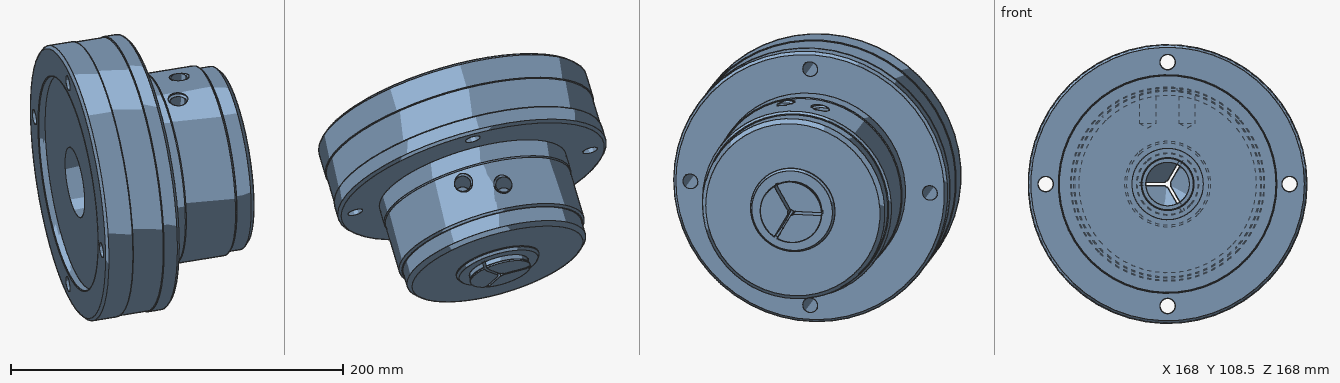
import cadquery as cq
import math

length = 108.5

flange_radius = 84
flange_waist_radius = 83.5
flange_length = 46.2
flange_chamfer = 1.7
waist_start = 16.6
waist_end = 36.3
waist_chamfer = flange_radius - flange_waist_radius

collar_radius = 58.5
collar_end = 57.6
collar_chamfer = 0.8
body_radius = 58.0
body_end = 89.7
body_chamfer = 1.3
cap_radius = 56.0
cap_end = 101.3
cap_chamfer = 2.5
seat_radius = 25.9
seat_end = 103.7
seat_chamfer_radial = 1.2
seat_chamfer_axial = 1.7

neck_radius = 18.3
lip_radius = 18.8
lip_start = 106.7
lip_chamfer_radial = 3.4
lip_chamfer_axial = 0.7

register_radius = 65.4
register_root_radius = 65.2
register_mouth_chamfer = 0.5
register_taper_end = 2.9
register_depth = 4.4
entry_radius = 21.5
entry_depth = 16.8
guide_mouth_radius = 16.0
guide_root_radius = 15.5
guide_depth = 21.2
collet_bore_radius = 13.1
collet_bore_end = 84
tip_radius = 1.8
tip_cone_length = collet_bore_radius - tip_radius

slot_count = 3
slot_width = 1.8

bolt_count = 4
bolt_circle_radius = 73.5
bolt_hole_radius = 4.5

screw_holes = ((-12.0, 72.9), (11.8, 65.7))
screw_hole_radius = 4.9
screw_mouth_radius = 6.0
screw_hole_depth = 20.2
drill_point_angle = 118


def revolve_profile(points):
    """Revolve (radius, y) points about the Y axis."""
    return cq.Workplane("XY").polyline(points).close().revolve(360, (0, 0, 0), (0, 1, 0))


def outer_body():
    return revolve_profile([
        (0, 0),
        (flange_radius - flange_chamfer, 0),
        (flange_radius, flange_chamfer),
        (flange_radius, waist_start),
        (flange_waist_radius, waist_start + waist_chamfer),
        (flange_waist_radius, waist_end - waist_chamfer),
        (flange_radius, waist_end),
        (flange_radius, flange_length - flange_chamfer),
        (flange_radius - flange_chamfer, flange_length),
        (collar_radius, flange_length),
        (collar_radius, collar_end - collar_chamfer),
        (body_radius, collar_end),
        (body_radius, body_end - body_chamfer),
        (body_radius - body_chamfer, body_end),
        (cap_radius, body_end),
        (cap_radius, cap_end - cap_chamfer),
        (cap_radius - cap_chamfer, cap_end),
        (seat_radius, cap_end),
        (seat_radius, seat_end - seat_chamfer_axial),
        (seat_radius - seat_chamfer_radial, seat_end),
        (neck_radius, seat_end),
        (neck_radius, lip_start),
        (lip_radius, lip_start),
        (lip_radius, length - lip_chamfer_axial),
        (lip_radius - lip_chamfer_radial, length),
        (0, length),
    ])


def axial_bores():
    return revolve_profile([
        (0, 0),
        (register_radius + register_mouth_chamfer, 0),
        (register_radius, register_mouth_chamfer),
        (register_root_radius, register_taper_end),
        (register_root_radius, register_depth),
        (entry_radius, register_depth),
        (entry_radius, entry_depth),
        (guide_mouth_radius, entry_depth),
        (guide_root_radius, guide_depth),
        (collet_bore_radius, guide_depth),
        (collet_bore_radius, collet_bore_end),
        (tip_radius, collet_bore_end + tip_cone_length),
        (tip_radius, length),
        (0, length),
    ])


def mounting_holes():
    """Plain holes right through the flange."""
    return (
        cq.Workplane("XZ")
        .polarArray(bolt_circle_radius, 0, 360, bolt_count)
        .circle(bolt_hole_radius)
        .extrude(-flange_length)
    )


def collet_slots():
    """Evenly spaced slots from the axis out through the collet wall, the first toward -X."""
    slot_length = length - collet_bore_end
    slots = cq.Workplane("XY")
    for index in range(slot_count):
        slot = (
            cq.Workplane("XY", origin=(0, collet_bore_end, 0))
            .box(lip_radius, slot_length, slot_width, centered=(False, False, True))
            .rotate((0, 0, 0), (0, 1, 0), 180 + index * 360 / slot_count)
        )
        slots = slots.union(slot)
    return slots


def screw_hole(x, y):
    """Vertical drilled hole with a countersunk mouth, sunk from where its axis meets the body."""
    mouth = math.sqrt(body_radius**2 - x**2)
    chamfer = screw_mouth_radius - screw_hole_radius
    floor = mouth - screw_hole_depth
    point_length = screw_hole_radius / math.tan(math.radians(drill_point_angle / 2))
    profile = [
        (0, floor - point_length),
        (screw_hole_radius, floor),
        (screw_hole_radius, mouth - chamfer),
        (screw_mouth_radius, mouth),
        (screw_mouth_radius, body_radius),
        (0, body_radius),
    ]
    drill = cq.Workplane("XZ").polyline(profile).close().revolve(360, (0, 0, 0), (0, 1, 0))
    return drill.translate((x, y, 0))


result = outer_body().cut(axial_bores()).cut(mounting_holes()).cut(collet_slots())
for x, y in screw_holes:
    result = result.cut(screw_hole(x, y))